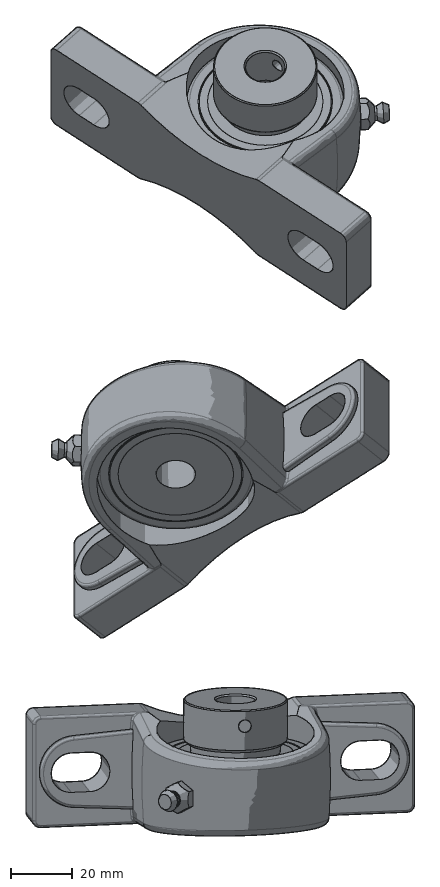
import cadquery as cq
import math

overall_height = 45.0

plate_length = 125.5
plate_width = 37.0
plate_thickness = 12.9
plate_corner_radius = 2.5
plate_rim_radius = 0.9
plate_half_width = plate_width / 2

slot_width = 13.0
slot_length = 19.2
slot_offset = 47.6
pad_top = 15.2
pad_end = 60.7
pad_end_radius = 11.8
pad_taper = 4.0
pad_rim_radius = 1.0
pad_root = 28.9

axis_height = 33.3
boss_radius = 30.7
boss_side_drop = 1.0
boss_half_width = 15.8
boss_taper = 7.0
boss_edge_radius = 2.5
boss_root_radius = 0.6
bore_diameter = 51.0

hollow_floor = 12.8
hollow_radius = 57.7
hollow_edge_radius = 2.9

outer_ring_edge_radius = 1.0
bearing_half_width = 9.0
seal_outer_diameter = 43.4
seal_inner_diameter = 37.3
seal_thickness = 1.9
seal_chamfer = 0.4
shaft_diameter = 12.7
neck_diameter = 29.0

collar_diameter = 33.5
collar_bottom = 12.3
collar_edge_chamfer = 0.4
collar_bottom_chamfer = 1.0
collar_bore_chamfer = 0.5
collar_top = overall_height - plate_half_width
screw_diameter = 4.1
screw_height = 21.3
screw_length = 7.5
screw_tip = 17.1

nipple_angle = 45.0
nipple_shank_diameter = 5.0
nipple_shank_start = 27.0
nipple_hex_start = boss_radius
nipple_hex_end = 35.4
nipple_hex_width = 9.0
nipple_hex_bevel = 45.0
nipple_hex_top_radius = 2.8
nipple_neck_radius = 2.4
nipple_neck_end = 36.1
nipple_head_middle = 38.2
nipple_head_radius = 3.5
nipple_tip = 40.2
nipple_tip_radius = 2.5


def make_plate():
    plate = (
        cq.Workplane("XY")
        .box(plate_length, plate_thickness, plate_width, centered=(True, False, True))
        .edges("|Y")
        .fillet(plate_corner_radius)
    )
    return plate.faces(">Y").edges().fillet(plate_rim_radius)


def make_pad():
    """Pad on the +X side: a round end whose tangent sides widen toward the boss."""
    taper = math.radians(pad_taper)
    end_centre = pad_end - pad_end_radius
    tangent_x = end_centre + pad_end_radius * math.sin(taper)
    tangent_z = pad_end_radius * math.cos(taper)
    root_z = tangent_z + (tangent_x - pad_root) * math.tan(taper)
    pad = (
        cq.Workplane("XZ")
        .moveTo(pad_root, -root_z)
        .lineTo(tangent_x, -tangent_z)
        .threePointArc((pad_end, 0), (tangent_x, tangent_z))
        .lineTo(pad_root, root_z)
        .close()
        .extrude(-pad_top)
    )
    return pad.faces(">Y").edges("not(<X)").fillet(pad_rim_radius)


def make_slot():
    return (
        cq.Workplane("XZ")
        .center(slot_offset, 0)
        .slot2D(slot_length, slot_width)
        .extrude(-2 * pad_top)
    )


def make_boss():
    """Arched, barrel-sided boss whose two faces taper toward the top of the arch."""
    edge_radius = boss_radius - boss_side_drop
    arch = (
        cq.Workplane("XZ", origin=(0, axis_height, 0))
        .moveTo(0, -plate_half_width)
        .lineTo(edge_radius, -plate_half_width)
        .threePointArc((boss_radius, 0), (edge_radius, plate_half_width))
        .lineTo(0, plate_half_width)
        .close()
        .revolve(180, (0, 0), (0, 1))
    )
    legs = (
        cq.Workplane("XZ")
        .moveTo(-edge_radius, -plate_half_width)
        .lineTo(edge_radius, -plate_half_width)
        .threePointArc((boss_radius, 0), (edge_radius, plate_half_width))
        .lineTo(-edge_radius, plate_half_width)
        .threePointArc((-boss_radius, 0), (-edge_radius, -plate_half_width))
        .close()
        .extrude(-axis_height)
    )
    slope = math.tan(math.radians(boss_taper))
    root_y = axis_height - (plate_half_width - boss_half_width) / slope
    crown_y = axis_height + boss_radius
    crown_half_width = boss_half_width - boss_radius * slope
    wedge = (
        cq.Workplane("YZ")
        .polyline([
            (root_y, -plate_half_width),
            (crown_y, -crown_half_width),
            (crown_y, crown_half_width),
            (root_y, plate_half_width),
        ])
        .close()
        .extrude(boss_radius, both=True)
    )
    boss = arch.union(legs).intersect(wedge)
    return boss.faces("<Z or >Z").edges("not(<Y)").fillet(boss_edge_radius)


def make_hollow():
    """Cutter for the hollow in the +Z long edge, with rounded run-outs."""
    centre_z = hollow_floor + hollow_radius
    round_z = plate_half_width - hollow_edge_radius
    centre_distance = hollow_radius + hollow_edge_radius
    round_x = math.sqrt(centre_distance**2 - (centre_z - round_z) ** 2)
    lean = math.asin(round_x / centre_distance)
    meet = (hollow_radius * math.sin(lean), centre_z - hollow_radius * math.cos(lean))
    middle = (
        round_x - hollow_edge_radius * math.sin(lean / 2),
        round_z + hollow_edge_radius * math.cos(lean / 2),
    )
    return (
        cq.Workplane("XZ")
        .moveTo(-round_x, plate_half_width)
        .threePointArc((-middle[0], middle[1]), (-meet[0], meet[1]))
        .threePointArc((0, hollow_floor), meet)
        .threePointArc(middle, (round_x, plate_half_width))
        .lineTo(round_x, plate_width)
        .lineTo(-round_x, plate_width)
        .close()
        .extrude(-(axis_height + boss_radius))
    )


def bearing_cylinder(diameter, bottom, top):
    return (
        cq.Workplane("XY", origin=(0, axis_height, bottom))
        .circle(diameter / 2)
        .extrude(top - bottom)
    )


def blend_boss_root(body):
    """Fillet the corner where the sides of the boss rise from the plate surface."""
    tolerance = 0.06
    corner = cq.selectors.BoxSelector(
        (-boss_radius, plate_thickness - tolerance, -plate_half_width),
        (boss_radius, plate_thickness + tolerance, plate_half_width),
    )
    return body.edges(corner).fillet(boss_root_radius)


def make_housing():
    pad = make_pad()
    slot = make_slot()
    hollow = make_hollow()
    housing = blend_boss_root(make_plate().union(make_boss()))
    housing = housing.union(pad).union(pad.mirror("YZ"))
    housing = housing.cut(slot).cut(slot.mirror("YZ"))
    housing = housing.cut(hollow).cut(hollow.mirror("XY"))
    housing = housing.cut(bearing_cylinder(bore_diameter, -plate_width, plate_width))
    return housing.cut(make_nipple_shank())


def make_outer_ring():
    ring = bearing_cylinder(bore_diameter, -bearing_half_width, bearing_half_width)
    ring = ring.edges("%CIRCLE").fillet(outer_ring_edge_radius)
    return ring.cut(bearing_cylinder(seal_outer_diameter, -bearing_half_width, bearing_half_width))


def make_seal():
    """Seal at the upper face of the bearing."""
    seal = bearing_cylinder(
        seal_outer_diameter, bearing_half_width - seal_thickness, bearing_half_width
    )
    seal = seal.faces(">Z").edges().chamfer(seal_chamfer)
    return seal.cut(bearing_cylinder(seal_inner_diameter, 0, bearing_half_width))


def make_inner_ring():
    ring = bearing_cylinder(seal_inner_diameter, -bearing_half_width, bearing_half_width)
    ring = ring.union(bearing_cylinder(neck_diameter, 0, collar_bottom))
    return ring.cut(bearing_cylinder(shaft_diameter, -bearing_half_width, collar_bottom))


def make_screw():
    return (
        cq.Workplane("XZ", origin=(0, axis_height + screw_tip, screw_height))
        .circle(screw_diameter / 2)
        .extrude(screw_length)
    )


def make_screw_hole():
    return (
        cq.Workplane("XZ", origin=(0, axis_height + collar_diameter, screw_height))
        .circle(screw_diameter / 2)
        .extrude(collar_diameter)
    )


def make_collar():
    collar = bearing_cylinder(collar_diameter, collar_bottom, collar_top)
    collar = collar.faces(">Z").edges().chamfer(collar_edge_chamfer)
    collar = collar.faces("<Z").edges().chamfer(collar_bottom_chamfer)
    collar = collar.cut(bearing_cylinder(shaft_diameter, collar_bottom, collar_top))
    collar = collar.faces(">Z").edges("%CIRCLE").edges(cq.selectors.RadiusNthSelector(0))
    return collar.chamfer(collar_bore_chamfer).cut(make_screw_hole())


def nipple_plane(distance):
    """Plane across the nipple axis at a distance from the bearing axis."""
    angle = math.radians(nipple_angle)
    outward = (math.cos(angle), math.sin(angle), 0)
    origin = (distance * outward[0], axis_height + distance * outward[1], 0)
    return cq.Plane(origin=origin, xDir=(0, 0, 1), normal=outward)


def make_nipple_shank():
    return (
        cq.Workplane(nipple_plane(nipple_shank_start))
        .circle(nipple_shank_diameter / 2)
        .extrude(nipple_hex_start - nipple_shank_start)
    )


def frustum(start, end, start_radius, end_radius):
    return (
        cq.Workplane(nipple_plane(start))
        .circle(start_radius)
        .workplane(offset=end - start)
        .circle(end_radius)
        .loft()
    )


def make_nipple():
    corner_diameter = nipple_hex_width / math.cos(math.pi / 6)
    hex_length = nipple_hex_end - nipple_hex_start
    bevel_growth = hex_length * math.tan(math.radians(nipple_hex_bevel))
    bevel = frustum(
        nipple_hex_start, nipple_hex_end, nipple_hex_top_radius + bevel_growth, nipple_hex_top_radius
    )
    hexagon = (
        cq.Workplane(nipple_plane(nipple_hex_start))
        .polygon(6, corner_diameter)
        .extrude(hex_length)
        .intersect(bevel)
    )
    neck = frustum(nipple_hex_end, nipple_neck_end, nipple_neck_radius, nipple_neck_radius)
    under_head = frustum(nipple_neck_end, nipple_head_middle, nipple_neck_radius, nipple_head_radius)
    head = frustum(nipple_head_middle, nipple_tip, nipple_head_radius, nipple_tip_radius)
    return make_nipple_shank().union(hexagon).union(neck).union(under_head).union(head)


housing = make_housing()
outer_ring = make_outer_ring()
inner_ring = make_inner_ring()
upper_seal = make_seal()
seals = [upper_seal, upper_seal.mirror("XY")]
collar = make_collar()
screw = make_screw()
nipple = make_nipple()

result = cq.Compound.makeCompound([
    housing.val(),
    outer_ring.val(),
    inner_ring.val(),
    *[seal.val() for seal in seals],
    collar.val(),
    screw.val(),
    nipple.val(),
])